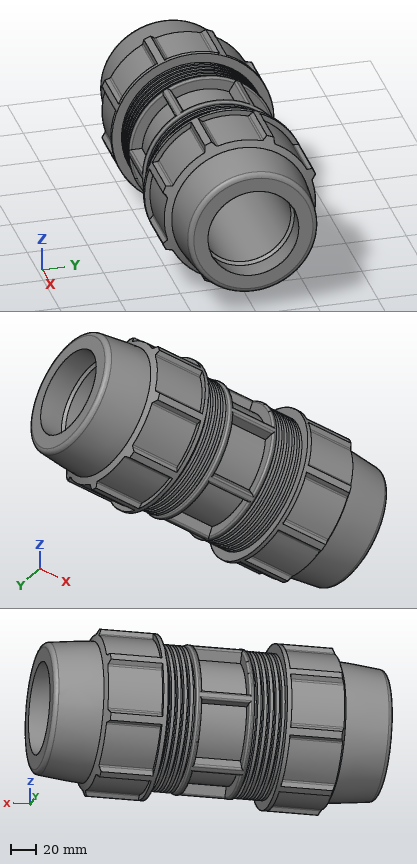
import cadquery as cq
import math

length = 278.0
mid_x = length / 2
bore_radius = 37.5

mouth_depth = 22.2
mouth_inner_radius = 39.8
mouth_cone_length = 2.5

nose_end_radius = 52.8
nose_end_fillet = 4.2
nose_bulge = 0.42
nose_length = 39.8
nose_base_radius = 57.0
shoulder_slope = 2.3
nut_radius = 62.5
flange_radius = 67.0
flange_x = 86.5
flange_thickness = 3.5
nut_rib_count = 8
nut_rib_tip_width = 6.0
nut_rib_root_width = 10.5
nut_rib_root_fillet = 1.7

thread_core_radius = 53.7
thread_crest_radius = 59.08
thread_pitch = 5.0
thread_ring_width = 2.8
thread_ring_count = 5
first_ring_x = 89.8

body_radius = 60.3
body_x = 115.0
collar_width = 4.5
pocket_floor_radius = 50.0
body_rib_count = 6
body_rib_width = 7.0
body_edge_fillet = 1.7

flange_end_x = flange_x + flange_thickness

overlap = 2.8
radius_tolerance = 0.03


def tube(x_start, x_end, radius, inner_radius=0.0):
    """Round bar or tube along X between two positions."""
    profile = cq.Workplane("YZ", origin=(x_start, 0, 0)).circle(radius)
    if inner_radius > 0:
        profile = profile.circle(inner_radius)
    return profile.extrude(x_end - x_start)


def revolve_about_x(profile):
    return profile.close().revolve(360, (0, 0, 0), (1, 0, 0))


def lies_at_radius(edge, radius):
    """Whether the middle of an edge is at a given distance from the X axis."""
    middle = edge.positionAt(0.5)
    return abs(math.hypot(middle.y, middle.z) - radius) < radius_tolerance


def recesses_between_ribs(x_start, x_end, floor_radius, outer_radius, ribs, root_width, tip_width):
    """Ring of material to remove, leaving straight-sided ribs that may taper outward.

    The first rib points along +Y.
    """
    ring = tube(x_start, x_end, outer_radius + overlap, floor_radius)
    taper = (tip_width - root_width) / (outer_radius - floor_radius)
    inner_end = floor_radius - overlap
    outer_end = outer_radius + 2 * overlap
    inner_half = (root_width - taper * overlap) / 2
    outer_half = (tip_width + taper * 2 * overlap) / 2
    rib = (
        cq.Workplane("YZ", origin=(x_start, 0, 0))
        .polyline([
            (inner_end, -inner_half),
            (outer_end, -outer_half),
            (outer_end, outer_half),
            (inner_end, inner_half),
        ])
        .close()
        .extrude(x_end - x_start)
    )
    for index in range(ribs):
        ring = ring.cut(rib.rotate((0, 0, 0), (1, 0, 0), index * 360 / ribs))
    return ring


def nut():
    bulge_radius = (nose_end_radius + nose_base_radius) / 2 + nose_bulge
    shoulder_length = (flange_radius - nose_base_radius) / shoulder_slope
    profile = (
        cq.Workplane("XY")
        .lineTo(0, nose_end_radius)
        .threePointArc((nose_length / 2, bulge_radius), (nose_length, nose_base_radius))
        .lineTo(nose_length + shoulder_length, flange_radius)
        .lineTo(flange_end_x, flange_radius)
        .lineTo(flange_end_x, 0)
    )
    blank = revolve_about_x(profile).faces("<X").edges().fillet(nose_end_fillet)
    recesses = recesses_between_ribs(
        nose_length, flange_x, nut_radius, flange_radius,
        nut_rib_count, nut_rib_root_width, nut_rib_tip_width,
    )
    rib_roots = [edge for edge in recesses.edges("|X").vals() if lies_at_radius(edge, nut_radius)]
    recesses = recesses.newObject(rib_roots).fillet(nut_rib_root_fillet)
    half_step = 180 / nut_rib_count
    return blank.cut(recesses.rotate((0, 0, 0), (1, 0, 0), half_step))


def thread():
    threaded = tube(flange_x, body_x + overlap, thread_core_radius)
    for index in range(thread_ring_count):
        ring_x = first_ring_x + index * thread_pitch
        threaded = threaded.union(tube(ring_x, ring_x + thread_ring_width, thread_crest_radius))
    return threaded


def middle_body():
    pocket_x = body_x + collar_width
    pockets = recesses_between_ribs(
        pocket_x, length - pocket_x, pocket_floor_radius, body_radius,
        body_rib_count, body_rib_width, body_rib_width,
    )
    body = tube(body_x, length - body_x, body_radius).cut(pockets)
    seam_length = length - 2 * body_x
    rims = [
        edge for edge in body.edges().vals()
        if lies_at_radius(edge, body_radius)
        and not (edge.geomType() == "LINE" and edge.Length() > seam_length - overlap)
    ]
    return body.newObject(rims).fillet(body_edge_fillet)


def mouth():
    return revolve_about_x(
        cq.Workplane("XY")
        .lineTo(0, bore_radius)
        .lineTo(mouth_depth, mouth_inner_radius)
        .lineTo(mouth_depth + mouth_cone_length, bore_radius)
        .lineTo(mouth_depth + mouth_cone_length, 0)
    )


def mirrored(half):
    return half.mirror("YZ", (mid_x, 0, 0))


half = nut().union(thread())
result = half.union(mirrored(half)).union(middle_body())
result = result.cut(tube(0, length, bore_radius))
result = result.cut(mouth()).cut(mirrored(mouth()))